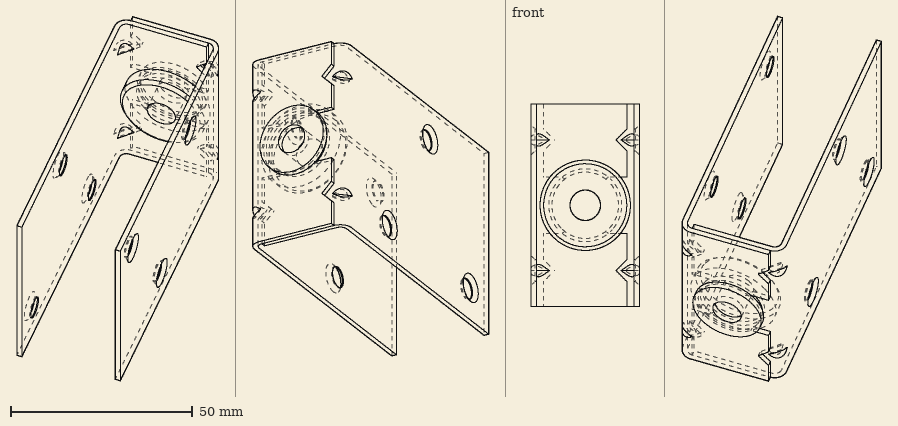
import cadquery as cq
import math

TOTAL_LENGTH = 83.5
WIDTH = 30.0
HEIGHT = 56.0

SHEET = 1.5
INNER_BEND = 2.0
OUTER_BEND = INNER_BEND + SHEET
LEG_X = -WIDTH / 2
FREE_END_X = WIDTH / 2 - OUTER_BEND

CAP_DIAMETER = 20.1
CAP_THICKNESS = 2.0
NECK_DIAMETER = 18.4
FLANGE_DIAMETER = 25.0
FLANGE_THICKNESS = 5.0
FLANGE_CHAMFER = 1.0
BORE_DIAMETER = 8.35

OUTER_PLATE_Y = -CAP_THICKNESS
INNER_PLATE_Y = OUTER_PLATE_Y - SHEET
FLANGE_Y = INNER_PLATE_Y - SHEET

MOUTH_WIDTH = 15.5
THROAT_WIDTH = 14.4

ROW_Z = 18.0
DENT_REACH = 3.6
GROOVE_REACH = 4.0
NOTCH_DEPTH = 3.0

SCREW_DIAMETER = 6.0
COUNTERSINK_DIAMETER = 8.35
COUNTERSINK_ANGLE = 90.0
HOLE_PITCH = 22.55
MIDDLE_HOLE_Y = -50.9
SCREW_HOLES = [
    (MIDDLE_HOLE_Y + HOLE_PITCH, -ROW_Z),
    (MIDDLE_HOLE_Y, ROW_Z),
    (MIDDLE_HOLE_Y - HOLE_PITCH, -ROW_Z),
]


def bent_sheet():
    """L-shaped sheet with a rounded bend, centred on z = 0."""
    leg_end_y = -TOTAL_LENGTH
    bend = math.sqrt(0.5)
    centre_x = LEG_X + OUTER_BEND
    centre_y = INNER_PLATE_Y - OUTER_BEND
    return (
        cq.Workplane("XY")
        .workplane(offset=-HEIGHT / 2)
        .moveTo(LEG_X, leg_end_y)
        .lineTo(LEG_X, centre_y)
        .threePointArc(
            (centre_x - OUTER_BEND * bend, centre_y + OUTER_BEND * bend),
            (centre_x, INNER_PLATE_Y),
        )
        .lineTo(FREE_END_X, INNER_PLATE_Y)
        .lineTo(FREE_END_X, FLANGE_Y)
        .lineTo(centre_x, FLANGE_Y)
        .threePointArc(
            (centre_x - INNER_BEND * bend, centre_y + INNER_BEND * bend),
            (LEG_X + SHEET, centre_y),
        )
        .lineTo(LEG_X + SHEET, leg_end_y)
        .close()
        .extrude(HEIGHT)
    )


def corner_wedge(corner_x, corner_y, reach, z):
    """90-degree wedge across a corner: its ridge joins the two faces at the given reach."""
    ridge_depth = reach / math.sqrt(2)
    plane = cq.Plane(origin=(corner_x, corner_y, z), xDir=(1, -1, 0), normal=(1, 1, 0))
    wedge = (
        cq.Workplane(plane)
        .polyline([(0, -ridge_depth), (ridge_depth, 0), (0, ridge_depth)])
        .close()
        .extrude(reach, both=True)
    )
    quadrant = (
        cq.Workplane("XY")
        .box(reach, reach, 2 * reach, centered=(False, False, True))
        .translate((corner_x, corner_y - reach, z))
    )
    return wedge.intersect(quadrant)


def plate_slot():
    """Round seat for the neck, with a mouth that tapers in from the free end."""
    plate_face = cq.Workplane("XZ", origin=(0, INNER_PLATE_Y, 0))
    half_mouth = MOUTH_WIDTH / 2
    half_throat = THROAT_WIDTH / 2
    throat_x = math.sqrt((NECK_DIAMETER / 2) ** 2 - half_throat ** 2)
    taper_x = throat_x + half_mouth - half_throat
    seat = plate_face.circle(NECK_DIAMETER / 2).extrude(SHEET)
    mouth = (
        plate_face
        .moveTo(throat_x, -half_throat)
        .lineTo(taper_x, -half_mouth)
        .lineTo(FREE_END_X, -half_mouth)
        .lineTo(FREE_END_X, half_mouth)
        .lineTo(taper_x, half_mouth)
        .lineTo(throat_x, half_throat)
        .close()
        .extrude(SHEET)
    )
    return seat.union(mouth)


def clearance_notch(z):
    """90-degree V notch in the free end of the plate."""
    return (
        cq.Workplane("XZ", origin=(0, INNER_PLATE_Y, 0))
        .polyline([
            (FREE_END_X, z - NOTCH_DEPTH),
            (FREE_END_X - NOTCH_DEPTH, z),
            (FREE_END_X, z + NOTCH_DEPTH),
        ])
        .close()
        .extrude(SHEET)
    )


def make_bracket():
    """Bracket with its leg on the -X side and its plate against the flange."""
    bracket = bent_sheet()
    for z in (-ROW_Z, ROW_Z):
        bracket = bracket.union(corner_wedge(LEG_X + SHEET, FLANGE_Y, DENT_REACH, z))
        bracket = bracket.cut(corner_wedge(LEG_X, INNER_PLATE_Y, GROOVE_REACH, z))
        bracket = bracket.cut(clearance_notch(z))
    bracket = bracket.cut(plate_slot())
    return (
        bracket.copyWorkplane(cq.Workplane(cq.Plane((LEG_X, 0, 0), (0, -1, 0), (-1, 0, 0))))
        .pushPoints([(-y, z) for y, z in SCREW_HOLES])
        .cskHole(SCREW_DIAMETER, COUNTERSINK_DIAMETER, COUNTERSINK_ANGLE, depth=2 * SHEET)
    )


def make_button():
    """Flange with a chamfered front rim and a neck through both plates."""
    flange = (
        cq.Workplane("XZ", origin=(0, FLANGE_Y, 0))
        .circle(FLANGE_DIAMETER / 2)
        .extrude(FLANGE_THICKNESS)
        .faces("<Y")
        .chamfer(FLANGE_CHAMFER)
    )
    neck = cq.Workplane("XZ", origin=(0, OUTER_PLATE_Y, 0)).circle(NECK_DIAMETER / 2).extrude(2 * SHEET)
    bore = cq.Workplane("XZ").circle(BORE_DIAMETER / 2).extrude(TOTAL_LENGTH)
    return flange.union(neck).cut(bore)


def make_cap():
    """Ring that closes the button behind the plates."""
    return (
        cq.Workplane("XZ")
        .circle(CAP_DIAMETER / 2)
        .circle(BORE_DIAMETER / 2)
        .extrude(CAP_THICKNESS)
    )


brackets = []
for turn, shift in ((0, 0), (180, SHEET)):
    brackets.append(make_bracket().rotate((0, 0, 0), (0, 1, 0), turn).translate((0, shift, 0)))
button = make_button().cut(brackets[0])
cap = make_cap()

result = cq.Compound.makeCompound([
    *[bracket.val() for bracket in brackets],
    button.val(),
    cap.val(),
])